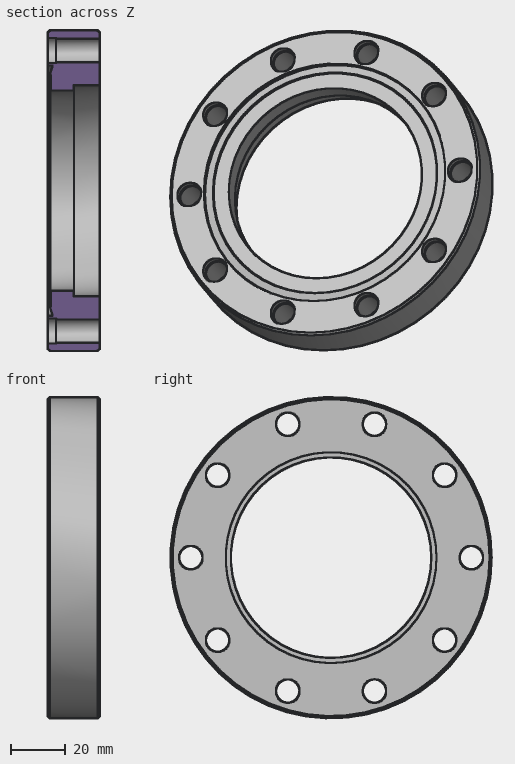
import cadquery as cq

outer_diameter = 117.4
thickness = 19.0
rim_chamfer = 0.8
bore_diameter = 73.1
rear_bore_diameter = 77.0
rear_bore_start = thickness / 2

recess_diameter = 91.4
recess_depth = 1.8
knife_diameter = 85.0
knife_tip_depth = 0.7
seat_diameter = 84.5
seat_depth = 1.0

bolt_count = 10
bolt_circle_diameter = 102.5
bolt_hole_diameter = 8.5
bolt_counterbore_diameter = 9.0
bolt_counterbore_depth = 3.0


def flange_body():
    """Revolve the half section, drawn as (axial, radial) points, about X."""
    outer_radius = outer_diameter / 2
    bore_radius = bore_diameter / 2
    section = [
        (seat_depth, bore_radius),
        (seat_depth, seat_diameter / 2),
        (knife_tip_depth, knife_diameter / 2),
        (recess_depth, recess_diameter / 2),
        (0, recess_diameter / 2),
        (0, outer_radius - rim_chamfer),
        (rim_chamfer, outer_radius),
        (thickness - rim_chamfer, outer_radius),
        (thickness, outer_radius - rim_chamfer),
        (thickness, rear_bore_diameter / 2),
        (rear_bore_start, rear_bore_diameter / 2),
        (rear_bore_start, bore_radius),
    ]
    return cq.Workplane("XY").polyline(section).close().revolve(360, (0, 0, 0), (1, 0, 0))


def bolt_circle_cylinders(diameter, depth):
    """Cylinders evenly spaced on the bolt circle, the first on the Y axis, rising from the sealing face."""
    return (
        cq.Workplane("YZ")
        .polarArray(bolt_circle_diameter / 2, 0, 360, bolt_count)
        .circle(diameter / 2)
        .extrude(depth)
    )


bolt_holes = bolt_circle_cylinders(bolt_hole_diameter, thickness)
bolt_counterbores = bolt_circle_cylinders(bolt_counterbore_diameter, bolt_counterbore_depth)

result = flange_body().cut(bolt_holes).cut(bolt_counterbores)